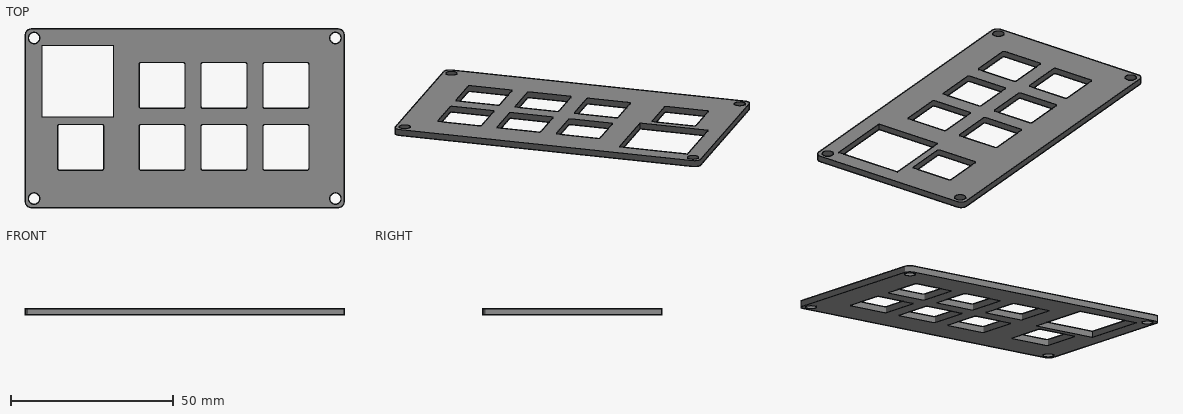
import cadquery as cq

length = 98.0
width = 55.0
thickness = 2.0
corner_radius = 2.0

hole_diameter = 3.4
hole_inset_x = 2.7
hole_inset_y = 2.8

key_size = 14.0
key_corner_radius = 0.5
key_pitch = 19.0
middle_column_x = 12.1
upper_row_y = 10.1
lower_row_y = upper_row_y - key_pitch
separate_key_x = -31.9

window_size = 21.9
window_center = (-32.8, 11.4)


def make_plate():
    plate = cq.Workplane("XY").box(length, width, thickness)
    return plate.edges("|Z").fillet(corner_radius)


def key_cutters():
    columns = [middle_column_x + step * key_pitch for step in (-1, 0, 1)]
    centers = [(x, y) for x in columns for y in (lower_row_y, upper_row_y)]
    centers.append((separate_key_x, lower_row_y))
    cutters = cq.Workplane("XY").pushPoints(centers).box(key_size, key_size, thickness)
    return cutters.edges("|Z").fillet(key_corner_radius)


def window_cutter():
    return cq.Workplane("XY").center(*window_center).box(window_size, window_size, thickness)


def hole_cutters():
    spacing_x = length - 2 * hole_inset_x
    spacing_y = width - 2 * hole_inset_y
    holes = cq.Workplane("XY").rect(spacing_x, spacing_y, forConstruction=True).vertices()
    return holes.circle(hole_diameter / 2).extrude(thickness / 2, both=True)


result = make_plate().cut(key_cutters()).cut(window_cutter()).cut(hole_cutters())